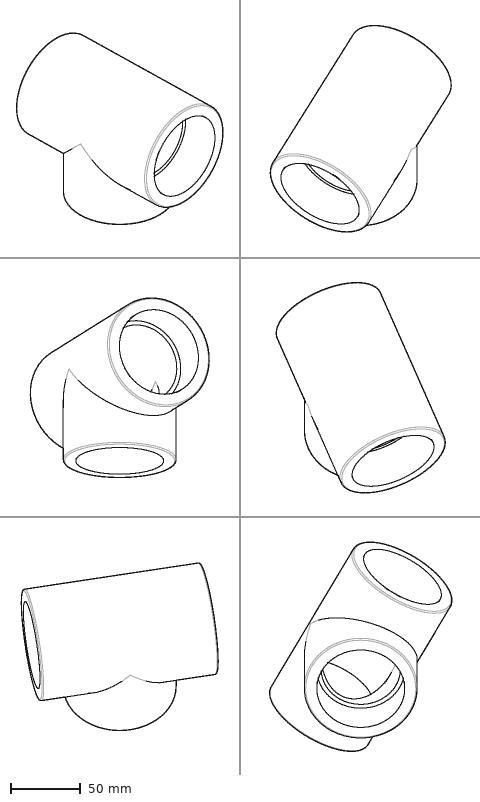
import cadquery as cq

run_length = 128.5
branch_length = 63.5
outer_diameter = 81.0
socket_diameter = 63.0
bore_diameter = 56.7
socket_depth = 29.0
rim_fillet = 1.0

half_run = run_length / 2
left_end = cq.Plane(origin=(-half_run, 0, 0), normal=(1, 0, 0))
right_end = cq.Plane(origin=(half_run, 0, 0), normal=(-1, 0, 0))
branch_end = cq.Plane(origin=(0, 0, -branch_length), xDir=(1, 0, 0), normal=(0, 0, 1))


def cylinder(end_plane, diameter, length):
    """Cylinder growing inward from an end face of the tee."""
    return cq.Workplane(end_plane).circle(diameter / 2).extrude(length)


run_body = cylinder(left_end, outer_diameter, run_length).edges("%CIRCLE").fillet(rim_fillet)
branch_body = cylinder(branch_end, outer_diameter, branch_length).faces("<Z").edges().fillet(rim_fillet)
result = run_body.union(branch_body)

for end_plane, reach in ((left_end, half_run), (right_end, half_run), (branch_end, branch_length)):
    result = result.cut(cylinder(end_plane, bore_diameter, reach))
    result = result.cut(cylinder(end_plane, socket_diameter, socket_depth))